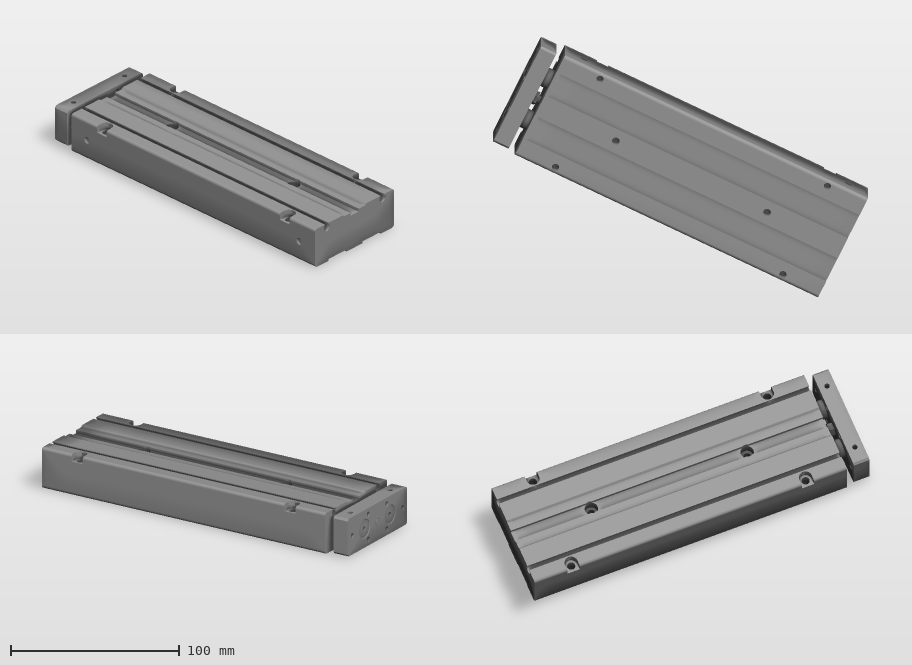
import cadquery as cq
TOTAL_LENGTH = 215.0
HOUSING_WIDTH = 68.0
HOUSING_HEIGHT = 26.0
PLATE_THICKNESS = 10.0
PLATE_WIDTH = 65.1
PLATE_HEIGHT = 23.9
PLATE_GAP = 5.0

PLATE_FRONT_X = -TOTAL_LENGTH / 2
PLATE_BACK_X = PLATE_FRONT_X + PLATE_THICKNESS
PLATE_MIDDLE_X = (PLATE_FRONT_X + PLATE_BACK_X) / 2
HOUSING_FRONT_X = PLATE_BACK_X + PLATE_GAP
HOUSING_BACK_X = TOTAL_LENGTH / 2
HOUSING_LENGTH = HOUSING_BACK_X - HOUSING_FRONT_X
HOUSING_TOP_Z = HOUSING_HEIGHT / 2

HOUSING_TOP_RADIUS = 1.7
HOUSING_BOTTOM_RADIUS = 2.2
TOP_RECESS_WIDTH = 20.2
TOP_RECESS_DEPTH = 1.0
CENTRE_SLOT_WIDTH = 7.0
CENTRE_SLOT_DEPTH = 2.0
BOTTOM_RECESS_INNER_Y = 6.9
BOTTOM_RECESS_OUTER_Y = 22.5
BOTTOM_RECESS_DEPTH = 1.3
SENSOR_GROOVE_Y = 23.9
SENSOR_GROOVE_OPENING = 3.0
SENSOR_GROOVE_DIAMETER = 5.0
SENSOR_GROOVE_LIP = 1.0
SENSOR_GROOVE_AXIS_DEPTH = 2.5

CORNER_HOLE_INSET = 25.0
CORNER_HOLE_Y = 30.0
CORNER_HOLE_DIAMETER = 4.3
CORNER_THREAD_DIAMETER = 5.0
CORNER_THREAD_DEPTH = 8.5
COUNTERBORE_DIAMETER = 8.0
COUNTERBORE_DEPTH = 4.5
CENTRE_HOLE_INSET = 50.0
CENTRE_HOLE_DIAMETER = 4.5
CENTRE_COUNTERBORE_DEPTH = 9.0
PORT_INSET = 13.0
PORT_DIAMETER = 4.5
PORT_DEPTH = 4.3
PORT_PASSAGE_DIAMETER = 2.0
PORT_PASSAGE_DEPTH = 8.5

PLATE_CHAMFER = 1.3
ROD_Y = 14.0
ROD_DIAMETER = 12.0
ROD_RECESS = 0.5
ROD_HOLE_DIAMETER = 3.0
ROD_HOLE_DEPTH = 4.3
FACE_HOLE_DIAMETER = 3.2
OUTER_FACE_HOLE_Y = 27.5
INNER_FACE_HOLE_Y = 10.0
INNER_FACE_HOLE_Z = 8.0
EDGE_HOLE_DIAMETER = 3.2
EDGE_HOLE_DEPTH = 6.5
EDGE_HOLE_Y = 22.0
BOLT_DIAMETER = 5.0
BOLT_CORE_DIAMETER = 3.2
BOLT_RING_DEPTH = 0.2
NUT_ACROSS_CORNERS = 8.5
NUT_THICKNESS = 3.2

SIDES = (-1, 1)


def box(x_min, x_max, y_min, y_max, z_min, z_max):
    """Box between two opposite corners."""
    size = (x_max - x_min, y_max - y_min, z_max - z_min)
    return cq.Workplane("XY").box(*size, centered=False).translate((x_min, y_min, z_min))


def cylinder(start, direction, diameter, length):
    """Cylinder that starts at a point and runs along a direction."""
    return cq.Workplane(cq.Solid.makeCylinder(diameter / 2, length, cq.Vector(*start), cq.Vector(*direction)))


def lengthwise_bar(y_min, y_max, z_min, z_max):
    """Box that runs the full length of the housing."""
    return box(HOUSING_FRONT_X, HOUSING_BACK_X, y_min, y_max, z_min, z_max)


def housing_blank():
    """Block with rounded long edges."""
    half_width = HOUSING_WIDTH / 2
    block = lengthwise_bar(-half_width, half_width, -HOUSING_TOP_Z, HOUSING_TOP_Z)
    block = block.edges("|X and >Z").fillet(HOUSING_TOP_RADIUS)
    return block.edges("|X and <Z").fillet(HOUSING_BOTTOM_RADIUS)


def top_recess():
    """Shallow middle recess with 45-degree sides and a deeper square slot in its floor."""
    floor_z = HOUSING_TOP_Z - TOP_RECESS_DEPTH
    half_top = TOP_RECESS_WIDTH / 2
    half_floor = half_top - TOP_RECESS_DEPTH
    half_slot = CENTRE_SLOT_WIDTH / 2
    recess = (
        cq.Workplane("YZ", origin=(HOUSING_FRONT_X, 0, 0))
        .polyline([
            (-half_top, HOUSING_TOP_Z),
            (-half_floor, floor_z),
            (half_floor, floor_z),
            (half_top, HOUSING_TOP_Z),
        ])
        .close()
        .extrude(HOUSING_LENGTH)
    )
    return recess.union(lengthwise_bar(-half_slot, half_slot, floor_z - CENTRE_SLOT_DEPTH, HOUSING_TOP_Z))


def sensor_groove(side):
    """Undercut groove: narrow mouth, wider cavity with a round floor."""
    y = side * SENSOR_GROOVE_Y
    half_mouth = SENSOR_GROOVE_OPENING / 2
    radius = SENSOR_GROOVE_DIAMETER / 2
    lip_z = HOUSING_TOP_Z - SENSOR_GROOVE_LIP
    axis_z = HOUSING_TOP_Z - SENSOR_GROOVE_AXIS_DEPTH
    mouth = lengthwise_bar(y - half_mouth, y + half_mouth, lip_z, HOUSING_TOP_Z)
    cavity = lengthwise_bar(y - radius, y + radius, axis_z, lip_z)
    floor = cylinder((HOUSING_FRONT_X, y, axis_z), (1, 0, 0), SENSOR_GROOVE_DIAMETER, HOUSING_LENGTH)
    return mouth.union(cavity).union(floor)


def bottom_recess(side):
    """Wide shallow recess in the underside."""
    y_min, y_max = sorted((side * BOTTOM_RECESS_INNER_Y, side * BOTTOM_RECESS_OUTER_Y))
    return lengthwise_bar(y_min, y_max, -HOUSING_TOP_Z, BOTTOM_RECESS_DEPTH - HOUSING_TOP_Z)


def corner_mount(x, side):
    """Through hole under a counterbore that opens to the side face, with a wider upper bore."""
    y = side * CORNER_HOLE_Y
    seat_z = HOUSING_TOP_Z - COUNTERBORE_DEPTH
    radius = COUNTERBORE_DIAMETER / 2
    y_min, y_max = sorted((y, side * HOUSING_WIDTH / 2))
    through = cylinder((x, y, -HOUSING_TOP_Z), (0, 0, 1), CORNER_HOLE_DIAMETER, HOUSING_HEIGHT)
    thread = cylinder((x, y, seat_z), (0, 0, -1), CORNER_THREAD_DIAMETER, CORNER_THREAD_DEPTH)
    counterbore = cylinder((x, y, seat_z), (0, 0, 1), COUNTERBORE_DIAMETER, COUNTERBORE_DEPTH)
    side_opening = box(x - radius, x + radius, y_min, y_max, seat_z, HOUSING_TOP_Z)
    return through.union(thread).union(counterbore).union(side_opening)


def centre_mount(x):
    """Counterbored through hole on the centre line."""
    seat_z = HOUSING_TOP_Z - CENTRE_COUNTERBORE_DEPTH
    through = cylinder((x, 0, -HOUSING_TOP_Z), (0, 0, 1), CENTRE_HOLE_DIAMETER, HOUSING_HEIGHT)
    counterbore = cylinder((x, 0, seat_z), (0, 0, 1), COUNTERBORE_DIAMETER, CENTRE_COUNTERBORE_DEPTH)
    return through.union(counterbore)


def air_port(x):
    """Stepped port in the -Y side face."""
    start = (x, -HOUSING_WIDTH / 2, 0)
    port = cylinder(start, (0, 1, 0), PORT_DIAMETER, PORT_DEPTH)
    return port.union(cylinder(start, (0, 1, 0), PORT_PASSAGE_DIAMETER, PORT_PASSAGE_DEPTH))


def both_ends(inset):
    """The two X positions at a given inset from the ends of the housing."""
    return HOUSING_FRONT_X + inset, HOUSING_BACK_X - inset


def make_housing():
    housing = housing_blank().cut(top_recess())
    for side in SIDES:
        housing = housing.cut(sensor_groove(side)).cut(bottom_recess(side))
        for x in both_ends(CORNER_HOLE_INSET):
            housing = housing.cut(corner_mount(x, side))
    for x in both_ends(CENTRE_HOLE_INSET):
        housing = housing.cut(centre_mount(x))
    for x in both_ends(PORT_INSET):
        housing = housing.cut(air_port(x))
    return housing


def end_plate():
    """Plate with chamfered long edges, front-face holes and top-edge holes."""
    half_width = PLATE_WIDTH / 2
    half_height = PLATE_HEIGHT / 2
    plate = box(PLATE_FRONT_X, PLATE_BACK_X, -half_width, half_width, -half_height, half_height)
    plate = plate.edges("|X").chamfer(PLATE_CHAMFER)
    for side in SIDES:
        face_holes = [(side * OUTER_FACE_HOLE_Y, 0)]
        face_holes += [(side * INNER_FACE_HOLE_Y, up * INNER_FACE_HOLE_Z) for up in SIDES]
        for y, z in face_holes:
            plate = plate.cut(cylinder((PLATE_FRONT_X, y, z), (1, 0, 0), FACE_HOLE_DIAMETER, PLATE_THICKNESS))
        edge_start = (PLATE_MIDDLE_X, side * EDGE_HOLE_Y, half_height)
        plate = plate.cut(cylinder(edge_start, (0, 0, -1), EDGE_HOLE_DIAMETER, EDGE_HOLE_DEPTH))
    return plate


def rod(side):
    """Guide rod from the front of the plate to the housing."""
    start = (PLATE_FRONT_X, side * ROD_Y, 0)
    return cylinder(start, (1, 0, 0), ROD_DIAMETER, PLATE_THICKNESS + PLATE_GAP)


def rod_end_cut(side):
    """Shallow conical recess that sets the rod end back from the plate face, with a blind centre hole."""
    start = (PLATE_FRONT_X, side * ROD_Y, 0)
    radius = ROD_DIAMETER / 2
    cone = cq.Solid.makeCone(radius, radius - ROD_RECESS, ROD_RECESS, cq.Vector(*start), cq.Vector(1, 0, 0))
    return cq.Workplane(cone).union(cylinder(start, (1, 0, 0), ROD_HOLE_DIAMETER, ROD_HOLE_DEPTH))


def bolt_end_cut():
    """Shallow ring round the core of the bolt end."""
    start = (PLATE_FRONT_X, 0, 0)
    ring = cylinder(start, (1, 0, 0), BOLT_DIAMETER, BOLT_RING_DEPTH)
    return ring.cut(cylinder(start, (1, 0, 0), BOLT_CORE_DIAMETER, BOLT_RING_DEPTH))


def stop_bolt():
    """Bolt through the plate to the housing, with its hexagonal lock nut."""
    bolt = cylinder((PLATE_FRONT_X, 0, 0), (1, 0, 0), BOLT_DIAMETER, PLATE_THICKNESS + PLATE_GAP)
    nut = (
        cq.Workplane("YZ", origin=(PLATE_BACK_X, 0, 0))
        .polygon(6, NUT_ACROSS_CORNERS)
        .extrude(NUT_THICKNESS)
    )
    return bolt.union(nut)


def make_slide():
    slide = end_plate().union(stop_bolt()).cut(bolt_end_cut())
    for side in SIDES:
        slide = slide.union(rod(side)).cut(rod_end_cut(side))
    return slide


housing = make_housing()
slide = make_slide()
result = cq.Compound.makeCompound([housing.val(), slide.val()])